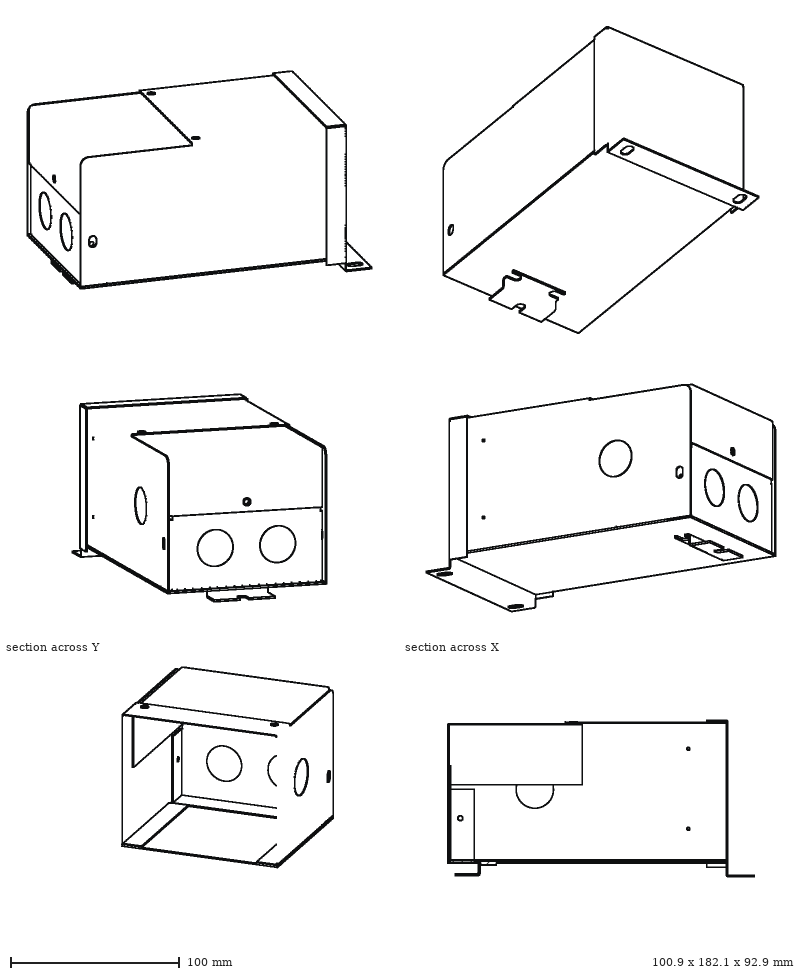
import cadquery as cq

sheet = 0.9
base_sheet = 1.2
bend_inner = 0.6
bend_outer = bend_inner + sheet
base_bend_outer = bend_inner + base_sheet

overall_width = 100.94
overall_depth = 182.13
overall_height = 92.89

base_bottom = 8.1
base_top = base_bottom + base_sheet
shell_top = overall_height - sheet
cover_top = shell_top - sheet

shell_width = overall_width - 2 * sheet
inner_width = shell_width - 2 * sheet
roof_front = 69.9
floor_flange_width = 12.0
floor_flange_front = 16.5
floor_bend_outer = sheet
wall_corner_radius = 5.0
wall_top_front = shell_top - bend_outer

cap_back = 166.4
cap_overlap = 12.6
cap_front = cap_back - cap_overlap
cap_bend_inner = 0.3
cap_bend_outer = cap_bend_inner + sheet
cap_flange_bottom = 5.6
shell_back = cap_back - sheet
foot_slot_spacing = 82.6
foot_slot_y = 174.4
foot_slot_width = 5.5
foot_slot_length = 9.6

side_clearance = 1.3
front_width = inner_width - 2 * side_clearance
front_face = 0.0
panel_face = front_face + sheet
cover_bottom = 54.6
cover_tuck = 10.0
cover_back = roof_front + cover_tuck
panel_flange_top = 52.1
panel_flange_depth = 15.0
panel_bend_outer = 1.2
panel_tongue_width = front_width - 2 * bend_outer
panel_tongue_top = 66.0

screw_head_diameter = 4.6
screw_hole_diameter = 3.0
roof_screw_spacing = 82.8
roof_screw_y = 74.8
cover_screw_z = 60.6

knockout_diameter = 22.2
knockout_depth = 0.6
panel_knockout_spacing = 39.0
panel_knockout_z = 33.7
wall_knockout_y = 51.8
wall_knockout_z = 51.8

wall_slot_y = 7.6
wall_slot_z = 37.0
wall_slot_width = 4.6
wall_slot_length = 7.0
panel_side_hole_z = 34.8
panel_side_hole_diameter = 2.8
pin_hole_y = 142.9
pin_hole_levels = (28.5, 76.0)
pin_hole_diameter = 1.6

front_foot_width = 38.0
front_foot_bottom = 0.5
front_foot_front = 4.6
front_foot_web_front = 18.1
front_foot_back = 29.0
front_foot_slot_width = 5.6
front_foot_slot_depth = 8.0
front_foot_side_slot_y = 24.7


def block(width, y_front, y_back, z_bottom, z_top, x_center=0.0):
    """Box with its width centred on x_center, given by its Y and Z limits."""
    depth = y_back - y_front
    height = z_top - z_bottom
    return cq.Workplane("XY").box(width, depth, height, centered=(True, False, False)).translate(
        (x_center, y_front, z_bottom)
    )


def cylinder_x(diameter, x_start, length, y, z):
    """Cylinder running along +X from x_start."""
    center = cq.Vector(x_start, y, z)
    return cq.Workplane(cq.Solid.makeCylinder(diameter / 2, length, center, cq.Vector(1, 0, 0)))


def cylinder_y(diameter, y_start, length, x, z):
    """Cylinder running along +Y from y_start."""
    center = cq.Vector(x, y_start, z)
    return cq.Workplane(cq.Solid.makeCylinder(diameter / 2, length, center, cq.Vector(0, 1, 0)))


def roof_holes(diameter, z_top):
    """Pair of upright holes through the sheet whose upper face is at z_top."""
    return (
        cq.Workplane("XY", origin=(0, roof_screw_y, z_top - sheet))
        .pushPoints([(side * roof_screw_spacing / 2, 0) for side in (-1, 1)])
        .circle(diameter / 2)
        .extrude(sheet)
    )


def make_shell():
    outer = block(shell_width, 0, shell_back, base_top, shell_top)
    outer = outer.edges("|Y and >Z").fillet(bend_outer)
    outer = outer.edges("|Y and <Z").fillet(floor_bend_outer)
    inner = block(inner_width, 0, shell_back, base_top + sheet, shell_top - sheet)
    inner = inner.edges("|Y and >Z").fillet(bend_inner)
    shell = outer.cut(inner)

    floor_gap = inner_width - 2 * floor_flange_width
    shell = shell.cut(block(floor_gap, 0, shell_back, base_top, base_top + sheet))
    shell = shell.cut(block(inner_width, 0, floor_flange_front, base_top, base_top + sheet))

    shell = shell.cut(block(shell_width, 0, roof_front, wall_top_front, shell_top))
    for side in (-1, 1):
        corner = block(sheet, 0, wall_corner_radius, wall_top_front - wall_corner_radius, wall_top_front)
        corner = corner.translate((side * (shell_width - sheet) / 2, 0, 0))
        rounding = cylinder_x(
            2 * wall_corner_radius,
            -shell_width / 2,
            shell_width,
            wall_corner_radius,
            wall_top_front - wall_corner_radius,
        )
        shell = shell.cut(corner.cut(rounding))

    shell = shell.cut(roof_holes(screw_head_diameter, shell_top))

    slot = (
        cq.Workplane("YZ", origin=(-shell_width / 2, wall_slot_y, wall_slot_z))
        .slot2D(wall_slot_length, wall_slot_width, 90)
        .extrude(shell_width)
    )
    shell = shell.cut(slot)

    left = -shell_width / 2
    shell = shell.cut(cylinder_x(knockout_diameter, left, knockout_depth, wall_knockout_y, wall_knockout_z))
    for level in pin_hole_levels:
        shell = shell.cut(cylinder_x(pin_hole_diameter, left, sheet, pin_hole_y, level))
    return shell


def make_front_cover():
    bends = "(|Z and <Y) or (|X and <Y and >Z) or (|Y and >Z)"
    outer = block(front_width, front_face, cover_back, cover_bottom, cover_top)
    outer = outer.edges(bends).fillet(bend_outer)
    inner_front = front_face + sheet
    inner = block(front_width - 2 * sheet, inner_front, cover_back, cover_bottom, cover_top - sheet)
    inner = inner.edges(bends).fillet(bend_inner)
    cover = outer.cut(inner)
    cover = cover.cut(cylinder_y(screw_head_diameter, front_face, sheet, 0, cover_screw_z))
    return cover.cut(roof_holes(screw_hole_diameter, cover_top))


def make_front_panel():
    panel_back = panel_face + panel_flange_depth
    panel = block(front_width, panel_face, panel_back, base_top, cover_bottom)
    panel = panel.edges("(|Z and <Y) or (|X and <Y and <Z)").fillet(panel_bend_outer)
    inner_front = panel_face + sheet
    panel = panel.cut(
        block(front_width - 2 * sheet, inner_front, panel_back, base_top + sheet, cover_bottom)
    )

    flat_width = front_width - 2 * panel_bend_outer
    for side in (-1, 1):
        x_center = side * (front_width + flat_width) / 4
        panel = panel.cut(
            block(panel_bend_outer, panel_face, panel_back, panel_flange_top, cover_bottom, x_center)
        )

    tongue = block(panel_tongue_width, panel_face, inner_front, cover_bottom, panel_tongue_top)
    panel = panel.union(tongue)
    panel = panel.cut(cylinder_y(screw_hole_diameter, panel_face, sheet, 0, cover_screw_z))

    for side in (-1, 1):
        x_center = side * panel_knockout_spacing / 2
        panel = panel.cut(
            cylinder_y(knockout_diameter, panel_face, knockout_depth, x_center, panel_knockout_z)
        )
    return panel.cut(
        cylinder_x(panel_side_hole_diameter, -front_width / 2, front_width, wall_slot_y, panel_side_hole_z)
    )


def make_end_cap():
    wrap = block(overall_width, cap_front, cap_back, cap_flange_bottom, shell_top)
    wrap = wrap.edges("|Z and >Y").fillet(cap_bend_outer)
    wrap = wrap.cut(block(shell_width, cap_front, shell_back, cap_flange_bottom, shell_top))

    hood = block(shell_width, cap_front, cap_back, shell_top - sheet, overall_height)
    hood = hood.edges("|X and >Y and >Z").fillet(cap_bend_outer)
    hood = hood.cut(block(shell_width, cap_front, shell_back, shell_top - sheet, shell_top))

    wrap = wrap.cut(block(overall_width, shell_back, cap_back, shell_top - sheet, shell_top))

    foot = (
        cq.Workplane("YZ", origin=(-shell_width / 2, 0, 0))
        .moveTo(shell_back, cap_flange_bottom + sheet)
        .lineTo(shell_back, cap_bend_outer)
        .radiusArc((shell_back + cap_bend_outer, 0), -cap_bend_outer)
        .lineTo(overall_depth, 0)
        .lineTo(overall_depth, sheet)
        .lineTo(cap_back + cap_bend_inner, sheet)
        .radiusArc((cap_back, cap_bend_outer), cap_bend_inner)
        .lineTo(cap_back, cap_flange_bottom + sheet)
        .close()
        .extrude(shell_width)
    )
    slots = (
        cq.Workplane("XY")
        .pushPoints([(side * foot_slot_spacing / 2, foot_slot_y) for side in (-1, 1)])
        .slot2D(foot_slot_length, foot_slot_width, 90)
        .extrude(sheet)
    )
    return wrap.union(hood).union(foot).cut(slots)


def make_base():
    plate = block(shell_width, 0, shell_back, base_bottom, base_top)

    web_back = front_foot_web_front + base_sheet
    upper_bottom = base_bottom - base_sheet
    lower_top = front_foot_bottom + base_sheet
    foot = (
        cq.Workplane("YZ", origin=(-front_foot_width / 2, 0, 0))
        .moveTo(front_foot_back, base_bottom)
        .lineTo(front_foot_web_front + base_bend_outer, base_bottom)
        .radiusArc((front_foot_web_front, base_bottom - base_bend_outer), -base_bend_outer)
        .lineTo(front_foot_web_front, lower_top + bend_inner)
        .radiusArc((front_foot_web_front - bend_inner, lower_top), bend_inner)
        .lineTo(front_foot_front, lower_top)
        .lineTo(front_foot_front, front_foot_bottom)
        .lineTo(web_back - base_bend_outer, front_foot_bottom)
        .radiusArc((web_back, front_foot_bottom + base_bend_outer), -base_bend_outer)
        .lineTo(web_back, upper_bottom - bend_inner)
        .radiusArc((web_back + bend_inner, upper_bottom), bend_inner)
        .lineTo(front_foot_back, upper_bottom)
        .close()
        .extrude(front_foot_width)
    )

    front_slot = (
        cq.Workplane("XY", origin=(0, front_foot_front, front_foot_bottom))
        .slot2D(2 * front_foot_slot_depth, front_foot_slot_width, 90)
        .extrude(base_sheet)
    )
    side_slots = (
        cq.Workplane("XY", origin=(0, 0, upper_bottom))
        .pushPoints([(side * front_foot_width / 2, front_foot_side_slot_y) for side in (-1, 1)])
        .slot2D(2 * front_foot_slot_depth, front_foot_slot_width)
        .extrude(base_sheet)
    )
    return plate.union(foot.cut(front_slot).cut(side_slots))


shell = make_shell()
front_cover = make_front_cover()
front_panel = make_front_panel()
end_cap = make_end_cap()
base = make_base()

result = cq.Compound.makeCompound(
    [shell.val(), front_cover.val(), front_panel.val(), end_cap.val(), base.val()]
)